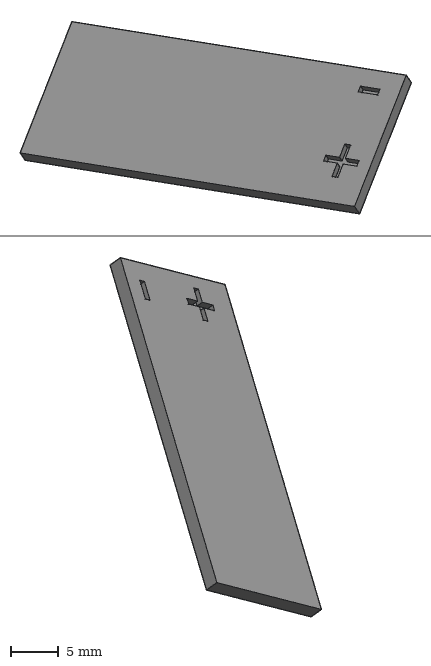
import cadquery as cq
import math

plate_length = 39.85
envelope_height = 12.45
plate_thickness = 1.6
tilt_angle = 45.0

plate_width = envelope_height * math.sqrt(2) - plate_thickness

recess_depth = plate_thickness / 2
bar_width = 0.7
plus_span = 3.95
minus_length = 2.3
recess_center_x = plate_length / 2 - 3.5
plus_center_y = -3.0
minus_center_y = 5.55


def make_plate():
    """Flat plate centred on the origin, before tilting."""
    return cq.Workplane("XY").box(plate_length, plate_width, plate_thickness)


def make_bar(length_x, length_y, center_y):
    """Cutter for one straight recess that opens at the upper face."""
    return (
        cq.Workplane("XY")
        .workplane(offset=plate_thickness / 2 - recess_depth)
        .center(recess_center_x, center_y)
        .rect(length_x, length_y)
        .extrude(recess_depth)
    )


def make_plus_recess():
    """Two equal bars that cross at their middles."""
    bar_along_x = make_bar(plus_span, bar_width, plus_center_y)
    bar_along_y = make_bar(bar_width, plus_span, plus_center_y)
    return bar_along_x.union(bar_along_y)


def make_minus_recess():
    """Single short bar parallel to X."""
    return make_bar(minus_length, bar_width, minus_center_y)


flat_part = make_plate().cut(make_plus_recess()).cut(make_minus_recess())

result = flat_part.rotate((0, 0, 0), (1, 0, 0), tilt_angle)